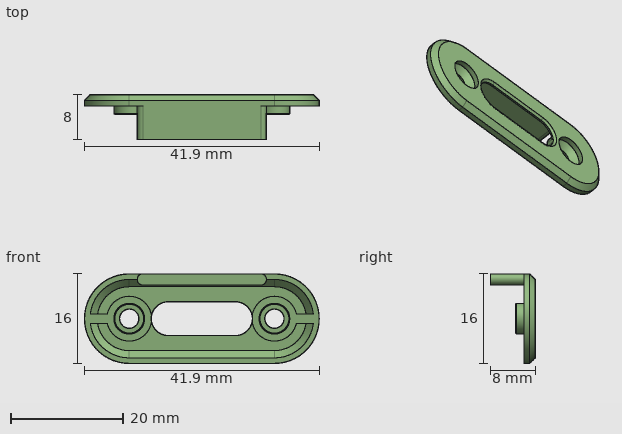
import cadquery as cq

length = 41.85
height = 16.0
plate_thickness = 2.0
edge_bevel = 1.0
hole_spacing = length - height
hole_places = [(-hole_spacing / 2, 0), (hole_spacing / 2, 0)]

rim_width = 1.0
pocket_depth = 1.3
bevel_angle = 45

slot_length = 18.0
slot_height = 6.0
slot_back_bevel = 0.4

collar_diameter = 8.0
pin_diameter = 5.5
pin_height = 1.5
pin_bevel = 0.15
screw_hole_diameter = 3.4
head_diameter = 5.8
head_recess_depth = 0.9
rib_height = 1.67

tab_length = 23.0
tab_thickness = 2.0
total_depth = 8.0
tab_projection = total_depth - plate_thickness
tab_root_depth = edge_bevel


def rim_plane(offset=0.0):
    """Sketch plane facing -Y; offset moves it outward from the rim."""
    return cq.Workplane("XZ").workplane(offset=offset)


def make_plate():
    plate = rim_plane(-plate_thickness).slot2D(length, height).extrude(plate_thickness)
    return plate.faces(">Y").chamfer(edge_bevel)


def make_pocket():
    mouth_length = length - 2 * rim_width
    mouth_height = height - 2 * rim_width
    mouth = rim_plane().slot2D(mouth_length, mouth_height)
    return mouth.extrude(-pocket_depth, taper=bevel_angle)


def make_collars_and_ribs():
    collars = rim_plane().pushPoints(hole_places).circle(collar_diameter / 2).extrude(-pocket_depth)
    rib_length = height / 2 - rim_width / 2
    for side in (-1, 1):
        rib_center = side * (hole_spacing / 2 + rib_length / 2)
        rib = rim_plane().center(rib_center, 0).rect(rib_length, rib_height).extrude(-pocket_depth)
        collars = collars.union(rib)
    return collars.intersect(make_plate())


def make_pins():
    pins = rim_plane().pushPoints(hole_places).circle(pin_diameter / 2).extrude(pin_height)
    return pins.faces("<Y").chamfer(pin_bevel)


def make_tab():
    tab_center = (height - tab_thickness) / 2
    tab = rim_plane(-tab_root_depth).center(0, tab_center).slot2D(tab_length, tab_thickness)
    return tab.extrude(tab_root_depth + tab_projection)


def make_slot():
    """Slot cutter, flared by 45 degrees at the back face."""
    slot = rim_plane(-plate_thickness).slot2D(slot_length, slot_height).extrude(plate_thickness)
    flare_length = slot_length + 2 * slot_back_bevel
    flare_height = slot_height + 2 * slot_back_bevel
    flare = rim_plane(-plate_thickness).slot2D(flare_length, flare_height)
    return slot.union(flare.extrude(slot_back_bevel, taper=bevel_angle))


def make_screw_hole():
    """Revolved cutter: head recess at the back, 90 degree countersink, through hole."""
    hole_radius = screw_hole_diameter / 2
    head_radius = head_diameter / 2
    cone_start = plate_thickness - head_recess_depth
    cone_end = cone_start - (head_radius - hole_radius)
    profile = (
        cq.Workplane("XY")
        .moveTo(0, plate_thickness)
        .lineTo(head_radius, plate_thickness)
        .lineTo(head_radius, cone_start)
        .lineTo(hole_radius, cone_end)
        .lineTo(hole_radius, -pin_height)
        .lineTo(0, -pin_height)
        .close()
    )
    return profile.revolve(360, (0, 0, 0), (0, 1, 0))


body = make_plate().cut(make_pocket())
body = body.union(make_collars_and_ribs()).union(make_pins()).union(make_tab())
body = body.cut(make_slot())
for hole_x, hole_z in hole_places:
    body = body.cut(make_screw_hole().translate((hole_x, 0, hole_z)))
result = body